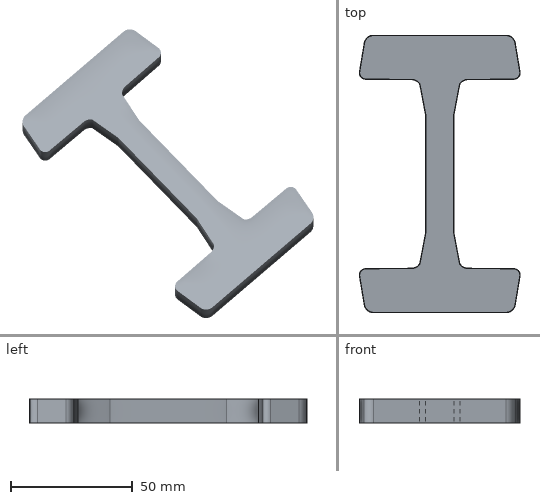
import cadquery as cq
import math

length = 113.9
flange_width = 66.0
thickness = 10.0

flange_depth = 18.05
flange_side_angle = 9.5
flange_inner_angle = 0.5
outer_corner_radius = 3.9
inner_corner_radius = 2.7

web_width = 11.5
web_straight_length = 47.8
web_flared_width = 16.5
web_taper_length = 13.1
web_root_width = 23.1

half_length = length / 2
flange_inner_y = half_length - flange_depth
taper_start_y = web_straight_length / 2
taper_end_y = taper_start_y + web_taper_length

lean = math.radians(flange_side_angle)
slope = math.radians(flange_inner_angle)
inner_corner_angle = math.pi / 2 - lean + slope
inner_tangent_length = inner_corner_radius / math.tan(inner_corner_angle / 2)
inner_corner_offset = inner_tangent_length * math.cos(slope) + inner_corner_radius * math.sin(slope)
inner_corner_x = flange_width / 2 - inner_corner_radius + inner_corner_offset
outer_corner_x = inner_corner_x - flange_depth * math.tan(lean)

root_x = web_root_width / 2
root_y = flange_inner_y - (inner_corner_x - root_x) * math.tan(slope)
root_arc_run = root_x - web_flared_width / 2
root_arc_rise = root_y - taper_end_y
root_arc_radius = (root_arc_run**2 + root_arc_rise**2) / (2 * root_arc_rise)
root_arc_angle = math.asin(root_arc_run / root_arc_radius)


def root_arc_point(angle):
    """Return the point on the root arc at an angle from its flange end."""
    x = root_x - root_arc_radius * math.sin(angle)
    y = root_y - root_arc_radius * (1 - math.cos(angle))
    return x, y


def make_quarter():
    """Extrude the quarter of the part in +X, +Y, with sharp flange corners."""
    return (
        cq.Workplane("XY")
        .lineTo(web_width / 2, 0)
        .lineTo(web_width / 2, taper_start_y)
        .lineTo(web_flared_width / 2, taper_end_y)
        .threePointArc(root_arc_point(root_arc_angle / 2), (root_x, root_y))
        .lineTo(inner_corner_x, flange_inner_y)
        .lineTo(outer_corner_x, half_length)
        .lineTo(0, half_length)
        .close()
        .extrude(thickness)
    )


def round_corner(body, corner, radius):
    """Round the upright edge that stands at the corner."""
    nearest = cq.selectors.NearestToPointSelector((*corner, thickness / 2))
    return body.edges("|Z").edges(nearest).fillet(radius)


quarter = make_quarter()
quarter = round_corner(quarter, (outer_corner_x, half_length), outer_corner_radius)
quarter = round_corner(quarter, (inner_corner_x, flange_inner_y), inner_corner_radius)

half = quarter.union(quarter.mirror("YZ"))
result = half.union(half.mirror("XZ")).clean()